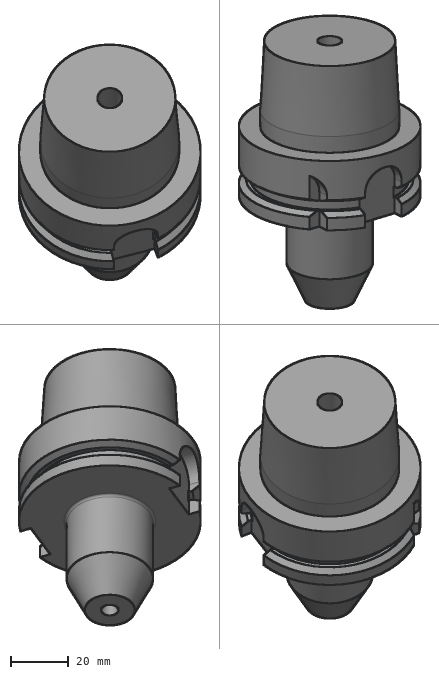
import cadquery as cq
import math


shank_height = 32.0
shank_collar_height = 6.1
shank_radius = 24.1
shank_top_radius = 22.75

flange_radius = 31.5
flange_thickness = 26.0
groove_center_depth = 18.0
groove_floor_width = 3.75
groove_floor_radius = 27.5
groove_lip_radius = 29.0
groove_chamfer_angle = 30.0
groove_chamfer_height = (flange_radius - groove_lip_radius) * math.tan(math.radians(groove_chamfer_angle))

nose_length = 39.0
nose_radius = 15.0
nose_cone_length = 13.75
nose_tip_radius = 8.65
nose_root_fillet = 0.9

tool_bore_radius = 3.0
tool_bore_depth = 36.0
shank_bore_radius = 4.25

keyway_radius = 8.0
keyway_center_depth = 13.0
drive_keyway_floor = 26.5
side_notch_floor = 20.0
side_notch_offset = 28.0

flange_bottom = -flange_thickness
groove_top = -groove_center_depth + groove_floor_width / 2
groove_bottom = -groove_center_depth - groove_floor_width / 2
tip_level = flange_bottom - nose_length
cone_level = tip_level + nose_cone_length


def turned_body():
    """Revolve the outer half profile, listed from the tip up to the shank end."""
    fillet_end_radius = nose_radius + nose_root_fillet
    fillet_start_level = flange_bottom - nose_root_fillet
    fillet_mid_offset = nose_root_fillet * math.sqrt(0.5)
    fillet_mid = (fillet_end_radius - fillet_mid_offset, fillet_start_level + fillet_mid_offset)
    profile = (
        cq.Workplane("XZ")
        .moveTo(0, tip_level)
        .lineTo(nose_tip_radius, tip_level)
        .lineTo(nose_radius, cone_level)
        .lineTo(nose_radius, fillet_start_level)
        .threePointArc(fillet_mid, (fillet_end_radius, flange_bottom))
        .lineTo(flange_radius, flange_bottom)
        .lineTo(flange_radius, groove_bottom - groove_chamfer_height)
        .lineTo(groove_lip_radius, groove_bottom)
        .lineTo(groove_floor_radius, groove_bottom)
        .lineTo(groove_floor_radius, groove_top)
        .lineTo(groove_lip_radius, groove_top)
        .lineTo(flange_radius, groove_top + groove_chamfer_height)
        .lineTo(flange_radius, 0)
        .lineTo(shank_radius, 0)
        .lineTo(shank_radius, shank_collar_height)
        .lineTo(shank_top_radius, shank_height)
        .lineTo(0, shank_height)
        .close()
    )
    return profile.revolve(360, (0, 0, 0), (0, 1, 0))


def stepped_bore():
    """Narrow bore for the tool, opening into the wider bore through the shank."""
    step_level = tip_level + tool_bore_depth
    tool_bore = cq.Workplane("XY", origin=(0, 0, tip_level)).circle(tool_bore_radius).extrude(tool_bore_depth)
    shank_bore = (
        cq.Workplane("XY", origin=(0, 0, step_level))
        .circle(shank_bore_radius)
        .extrude(shank_height - step_level)
    )
    return tool_bore.union(shank_bore)


def keyway(side, floor_distance, offset_y):
    """Keyway open at the flange bottom and rim on one X side (side is -1 or +1)."""
    cut_length = flange_radius - floor_distance
    return (
        cq.Workplane("YZ", origin=(side * floor_distance, 0, 0))
        .moveTo(offset_y - keyway_radius, flange_bottom)
        .lineTo(offset_y - keyway_radius, -keyway_center_depth)
        .threePointArc(
            (offset_y, keyway_radius - keyway_center_depth),
            (offset_y + keyway_radius, -keyway_center_depth),
        )
        .lineTo(offset_y + keyway_radius, flange_bottom)
        .close()
        .extrude(side * cut_length)
    )


result = turned_body().cut(stepped_bore())
for keyway_side in (-1, 1):
    result = result.cut(keyway(keyway_side, drive_keyway_floor, 0))
result = result.cut(keyway(-1, side_notch_floor, side_notch_offset))